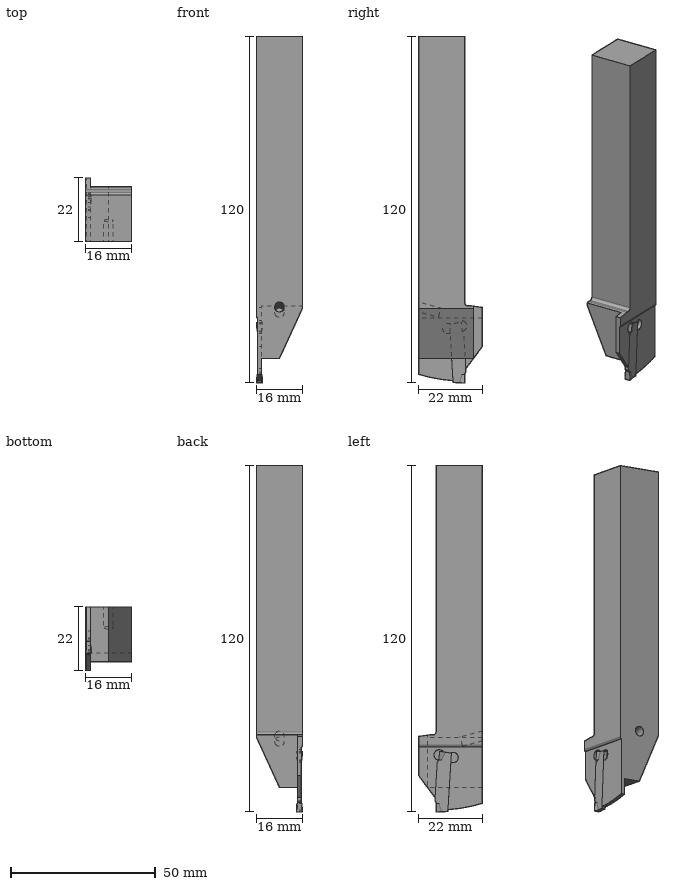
import cadquery as cq
import math

shank_width = 16.0
shank_depth = 16.0
top_z = 120.0
head_depth = 19.0
head_bottom_z = 8.5
head_bottom_width = 8.0
flank_top_z = 25.9
ledge_z = 26.8
ledge_fillet = 1.0
ledge_flat_end_y = 18.0
ledge_slope = 8.0
hole_diameter = 3.3
hole_x = shank_width / 2
hole_z = 26.35
hole_tilt = 15.0
hole_depth = 7.5

blade_inner_x = 1.8
blade_depth = 22.0
relief = 0.4
relief_top_z = 23.2
relief_radius = 0.8
blade_corner_z = 12.6
slant_end_y = 16.5
slant_end_z = 5.2
blade_front_z = 3.0
blade_low_y = 12.0
blade_low_z = 0.8
blade_sag = 0.35

tip_y = 16.0
insert_tilt = 3.5
insert_length = 21.1
tip_height = 4.07
insert_crown = 0.63
end_relief = 6.0
rake_length = 3.3
rake_run_out = 0.6
cutting_width = 2.2
body_width = blade_inner_x - relief
flare_length = 3.0
tip_corner_radius = 0.3
flare_reach_at_tip = 2.0
flare_reach_at_end = 0.8

seat_relief_places = [(14.9, 19.8), (10.1, 18.9)]
seat_relief_radius = 1.8
seat_relief_depth = blade_inner_x


def side_plane(x):
    """Sketch plane whose axes are world Y and Z, extruding toward +X."""
    return cq.Workplane("YZ", origin=(x, 0, 0))


def make_shank():
    """Square shank and the thick head, with the +X flank of the head tapered."""
    front_prism = (
        cq.Workplane("XZ")
        .moveTo(0, top_z)
        .lineTo(shank_width, top_z)
        .lineTo(shank_width, flank_top_z)
        .lineTo(head_bottom_width, head_bottom_z)
        .lineTo(0, head_bottom_z)
        .close()
        .extrude(-head_depth)
    )
    return front_prism.intersect(side_outline())


def side_outline():
    """Whole side outline of the holder, across the full width."""
    slope_end_z = ledge_z - (blade_depth - ledge_flat_end_y) * math.tan(math.radians(ledge_slope))
    arc_middle = (blade_low_y / 2, (blade_front_z + blade_low_z) / 2 - blade_sag)
    fillet_centre = (shank_depth + ledge_fillet, ledge_z + ledge_fillet)
    fillet_middle = (
        fillet_centre[0] - ledge_fillet * math.sqrt(0.5),
        fillet_centre[1] - ledge_fillet * math.sqrt(0.5),
    )
    return (
        side_plane(0)
        .moveTo(0, top_z)
        .lineTo(shank_depth, top_z)
        .lineTo(shank_depth, fillet_centre[1])
        .threePointArc(fillet_middle, (fillet_centre[0], ledge_z))
        .lineTo(ledge_flat_end_y, ledge_z)
        .lineTo(blade_depth, slope_end_z)
        .lineTo(blade_depth, blade_corner_z)
        .lineTo(slant_end_y, slant_end_z)
        .lineTo(blade_low_y, blade_low_z)
        .threePointArc(arc_middle, (0, blade_front_z))
        .close()
        .extrude(shank_width)
    )


def make_blade():
    """Thin blade along the -X side."""
    slab = cq.Workplane("XY").box(blade_inner_x, blade_depth, ledge_z, centered=False)
    return side_outline().intersect(slab)


def side_relief():
    """Material removed from the -X side below the relief step."""
    arc_drop = math.sqrt(relief_radius**2 - (relief_radius - relief) ** 2)
    return (
        cq.Workplane("XZ")
        .moveTo(0, 0)
        .lineTo(relief, 0)
        .lineTo(relief, relief_top_z - arc_drop)
        .radiusArc((0, relief_top_z), relief_radius)
        .close()
        .extrude(-blade_depth)
    )


def tilted_hole():
    """Blind hole in the front face, running down into the head."""
    tilt = math.radians(hole_tilt)
    direction = cq.Vector(0, math.cos(tilt), -math.sin(tilt))
    start = cq.Vector(hole_x, 0, hole_z) - direction * hole_diameter
    return cq.Solid.makeCylinder(hole_diameter / 2, hole_depth + hole_diameter, start, direction)


def insert_plane(x):
    """Plane at the lower cutting edge: local x runs to the seat face, local y along the insert."""
    tilt = math.radians(insert_tilt)
    toward_seat = cq.Vector(0, -math.cos(tilt), -math.sin(tilt))
    return cq.Plane(origin=(x, tip_y, 0), xDir=toward_seat, normal=(-1, 0, 0))


def insert_prism(x_start, x_end):
    """Insert side profile, the same at both ends, extruded between two X positions.

    In each point, v is the distance below the cutting edge and u the height along the insert.
    """
    end_rise = tip_height * math.tan(math.radians(end_relief))
    rake_rise = rake_length * math.tan(math.radians(insert_tilt))
    crown_start = rake_length + rake_run_out
    half = [(tip_height, end_rise), (0, 0), (-rake_rise, rake_length), (-insert_crown, crown_start)]
    other_half = [(v, insert_length - u) for v, u in reversed(half)]
    return cq.Workplane(insert_plane(x_end)).polyline(half + other_half).close().extrude(x_end - x_start)


def flare_section(u, reach):
    """Wire across the insert at height u: widest at the cutting edge, body width at the given reach."""
    side_taper = (cutting_width - body_width) / 2 / flare_reach_at_tip
    centre_x = cutting_width / 2
    narrow = body_width / 2
    wide = narrow + side_taper * (reach + insert_crown)
    corners = [
        (centre_x - wide, -insert_crown),
        (centre_x - narrow, reach),
        (centre_x + narrow, reach),
        (centre_x + wide, -insert_crown),
    ]
    frame = insert_plane(0)
    points = [frame.toWorldCoords((v, u, -x)) for x, v in corners]
    return cq.Wire.makePolygon(points, close=True)


def make_flare(tip_u, end_u):
    """Wedge that widens one end of the insert toward its cutting edge."""
    sections = [flare_section(tip_u, flare_reach_at_tip), flare_section(end_u, flare_reach_at_end)]
    return cq.Workplane(cq.Solid.makeLoft(sections, True))


def rounded_ends():
    """Block of the cutting width with rounded corners, running along and across the insert."""
    frame = insert_plane(cutting_width / 2)
    plan = cq.Plane(
        origin=frame.toWorldCoords((-insert_crown, insert_length / 2, 0)),
        xDir=(1, 0, 0),
        normal=frame.xDir,
    )
    return (
        cq.Workplane(plan)
        .rect(cutting_width, insert_length)
        .extrude(insert_crown + tip_height)
        .edges(cq.selectors.ParallelDirSelector(frame.xDir))
        .fillet(tip_corner_radius)
    )


def make_insert():
    """Insert with a narrow body and a flared cutting tip at each end."""
    wide_prism = insert_prism(0, cutting_width).intersect(rounded_ends())
    insert = insert_prism(relief, blade_inner_x)
    for tip_u, end_u in [(0, flare_length), (insert_length, insert_length - flare_length)]:
        insert = insert.union(make_flare(tip_u, end_u).intersect(wide_prism))
    return insert


def seat_reliefs():
    """Round pockets at the upper corners of the insert seat."""
    return (
        side_plane(0)
        .pushPoints(seat_relief_places)
        .circle(seat_relief_radius)
        .extrude(seat_relief_depth)
    )


def make_holder(insert):
    """Shank, head and blade in one piece, with the seat cut to fit the insert."""
    return (
        make_shank()
        .union(make_blade())
        .cut(side_relief())
        .cut(cq.Workplane(tilted_hole()))
        .cut(seat_reliefs())
        .cut(insert)
    )


insert = make_insert()
holder = make_holder(insert)
result = cq.Compound.makeCompound([holder.val(), insert.val()])